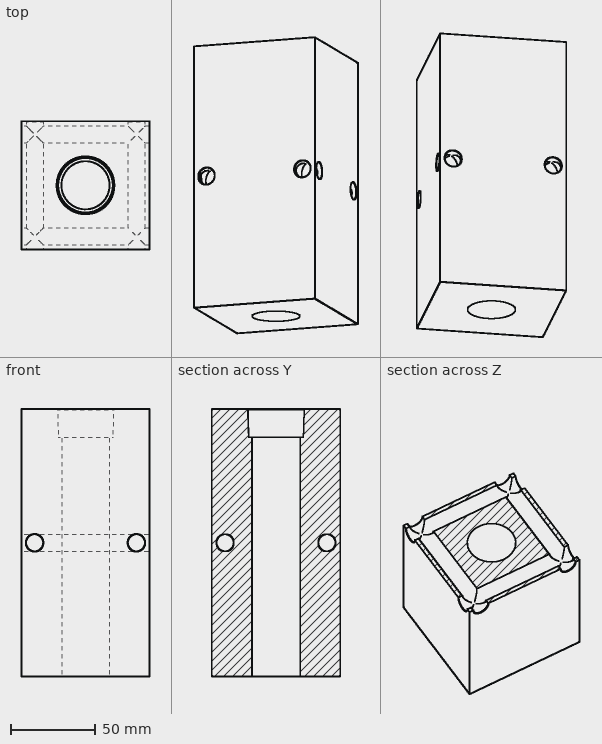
import cadquery as cq

height = 158.8
width = 76.2
edge_chamfer = 0.24

bore_diameter = 28.4
port_mouth_diameter = 34.5
port_chamfer = 0.6
port_taper = 1 / 16
port_depth = 16.8

cross_hole_diameter = 10.0
cross_hole_chamfer = 0.3
cross_hole_spacing = 60.3


def make_block():
    """Square upright block standing on the XY plane, with all its outer edges broken."""
    block = cq.Workplane("XY").box(width, width, height, centered=(True, True, False))
    return block.edges().chamfer(edge_chamfer)


def make_bore():
    """Through bore, tapered port and mouth chamfer as one revolved solid."""
    bore_radius = bore_diameter / 2
    mouth_radius = port_mouth_diameter / 2
    taper_top_radius = mouth_radius - port_chamfer
    taper_length = port_depth - port_chamfer
    seat_radius = taper_top_radius - port_taper * taper_length / 2
    profile = [
        (0, 0),
        (bore_radius, 0),
        (bore_radius, height - port_depth),
        (seat_radius, height - port_depth),
        (taper_top_radius, height - port_chamfer),
        (mouth_radius, height),
        (0, height),
    ]
    return cq.Workplane("XZ").polyline(profile).close().revolve(360, (0, 0), (0, 1))


def make_cross_hole():
    """Horizontal through hole along X, centred on the origin, chamfered at both mouths."""
    hole_radius = cross_hole_diameter / 2
    mouth_radius = hole_radius + cross_hole_chamfer
    half_length = width / 2
    chamfer_start = half_length - cross_hole_chamfer
    profile = [
        (-half_length, 0),
        (-half_length, mouth_radius),
        (-chamfer_start, hole_radius),
        (chamfer_start, hole_radius),
        (half_length, mouth_radius),
        (half_length, 0),
    ]
    return cq.Workplane("XZ").polyline(profile).close().revolve(360, (0, 0), (1, 0))


result = make_block().cut(make_bore())
for direction in (0, 90):
    for offset in (-cross_hole_spacing / 2, cross_hole_spacing / 2):
        hole = make_cross_hole().translate((0, offset, height / 2))
        result = result.cut(hole.rotate((0, 0, 0), (0, 0, 1), direction))